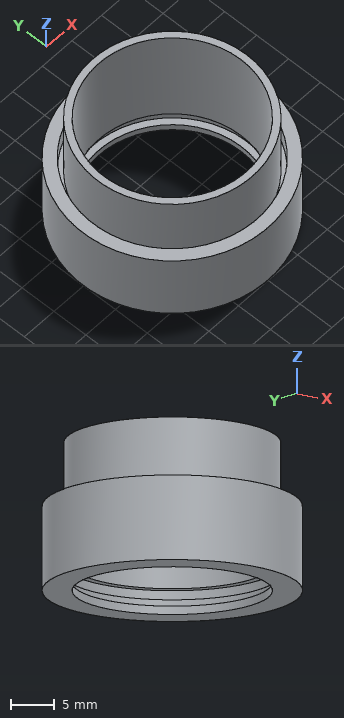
import cadquery as cq

ring_diameter = 29.95
ring_height = 10.0
ring_bore_diameter = 26.42

tube_top = 17.5
tube_diameter = 24.98
opening_diameter = 23.0
flange_top = 7.5

groove_diameter = tube_diameter
lip_height = 1.0
groove_top = 3.05
seat_height = 2 * lip_height


def disc(diameter, bottom, top):
    """Solid cylinder about the Z axis between two heights."""
    return cq.Workplane("XY").workplane(offset=bottom).circle(diameter / 2).extrude(top - bottom)


opening = disc(opening_diameter, 0, tube_top)
groove = disc(groove_diameter, lip_height, groove_top)


def make_ring():
    """Ring with a wide bore above an inward seat and a bottom lip."""
    bore = disc(ring_bore_diameter, seat_height, ring_height)
    return disc(ring_diameter, 0, ring_height).cut(bore).cut(opening).cut(groove)


def make_flanged_tube():
    """Thin tube whose wide flange fills the lower part of the ring bore."""
    flange = disc(ring_bore_diameter, seat_height, flange_top)
    sleeve = disc(tube_diameter, seat_height, tube_top)
    return flange.union(sleeve).cut(opening).cut(groove)


ring = make_ring()
flanged_tube = make_flanged_tube()

result = cq.Compound.makeCompound([ring.val(), flanged_tube.val()])